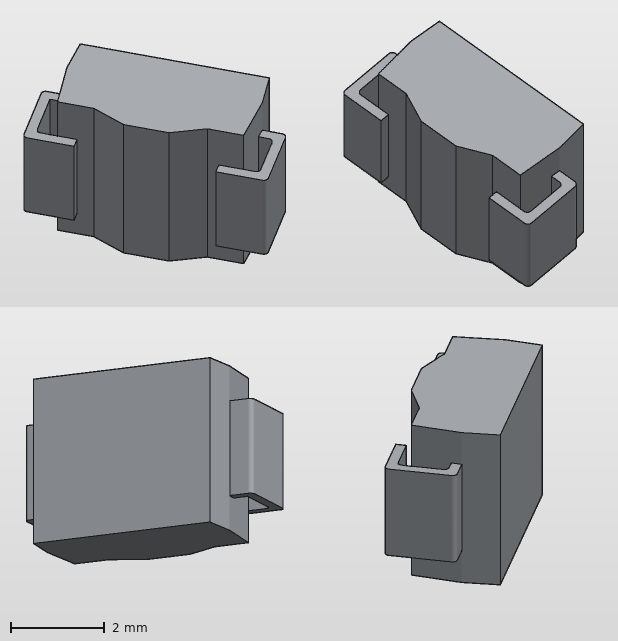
import cadquery as cq

body_height = 3.62
back_half_width = 2.09
waist_half_width = 2.16
front_half_width = 2.06
bulge_base_half_width = 1.255
bulge_tip_half_width = 0.5
waist_to_back = 0.82
waist_to_front = 1.13
bulge_depth = 0.34

overall_length = 5.4
overall_depth = 2.4
lead_setback = 0.825
lead_width = 2.085
lead_thickness = 0.23
foot_length = 1.135
bend_radius = 0.1
lead_embed = 0.27

back_y = waist_to_back
front_y = -waist_to_front
bulge_y = front_y - bulge_depth

arm_back_y = back_y - lead_setback
arm_front_y = arm_back_y - lead_thickness
foot_front_y = back_y - overall_depth
foot_back_y = foot_front_y + lead_thickness
arm_end_x = waist_half_width - lead_embed
wall_outer_x = overall_length / 2
wall_inner_x = wall_outer_x - lead_thickness
foot_end_x = wall_outer_x - foot_length


def make_body():
    """Block with sides bent at the waist and a tapered bulge on its front."""
    right_side = [
        (back_half_width, back_y),
        (waist_half_width, 0),
        (front_half_width, front_y),
        (bulge_base_half_width, front_y),
        (bulge_tip_half_width, bulge_y),
    ]
    left_side = [(-x, y) for x, y in reversed(right_side)]
    outline = cq.Workplane("XY").polyline(right_side + left_side).close()
    return outline.extrude(body_height / 2, both=True)


def make_lead(inner_bends_y):
    """Lead at the +X end: arm into the body, outer wall and foot.

    Both outer corners are rounded, and so is each inner corner listed by its y.
    """
    outline = [
        (arm_end_x, arm_back_y),
        (wall_outer_x, arm_back_y),
        (wall_outer_x, foot_front_y),
        (foot_end_x, foot_front_y),
        (foot_end_x, foot_back_y),
        (wall_inner_x, foot_back_y),
        (wall_inner_x, arm_front_y),
        (arm_end_x, arm_front_y),
    ]
    lead = cq.Workplane("XY").polyline(outline).close().extrude(lead_width / 2, both=True)
    lead = lead.edges("|Z and >X").fillet(bend_radius)
    for bend_y in inner_bends_y:
        inner_corner = cq.selectors.NearestToPointSelector((wall_inner_x, bend_y, 0))
        lead = lead.edges(inner_corner).fillet(bend_radius)
    return lead


right_lead = make_lead([arm_front_y, foot_back_y])
left_lead = make_lead([foot_back_y]).mirror("YZ")

result = make_body().union(right_lead).union(left_lead)